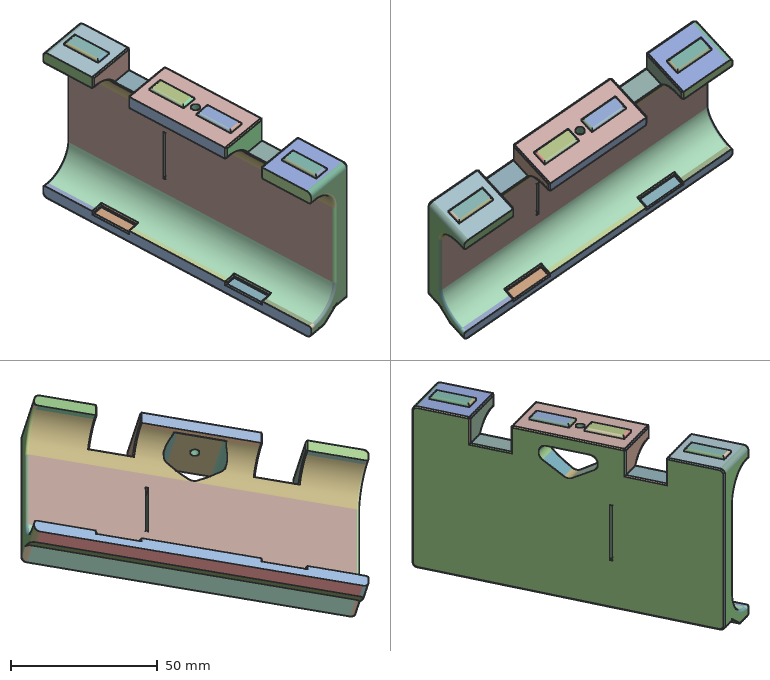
import cadquery as cq
import math

LENGTH = 117.0
DEPTH = 20.0
HEIGHT = 66.0
CORNER_RADIUS = 2.0
EDGE_CHAMFER = 0.5

WALL_THICKNESS = 7.0
LIP_THICKNESS = 5.0
COVE_RADIUS = 11.0
CAVITY_EDGE_RADIUS = 1.0
HEEL_HEIGHT = 4.2
HEEL_DEPTH = 8.8
FOOT_DEPTH = 5.3

NOTCH_SPACING = 58.0
NOTCH_WIDTH = 15.2
NOTCH_DEPTH = 10.0
POCKET_DEPTH = 1.0
POCKET_REACH = 4.5

PAD_LENGTH = 15.0
PAD_WIDTH = 6.0
PAD_HEIGHT = 1.0
PAD_EDGE_RADIUS = 0.8
INNER_PAD_X = 10.3
OUTER_PAD_X = 47.6

PIN_HOLE_DIAMETER = 3.2
WINDOW_WIDTH = 22.1
WINDOW_BOTTOM_Z = 50.5
WINDOW_TOP_Z = 61.2
WINDOW_SLOPE = math.radians(30)
WINDOW_CORNER_DIAMETER = 6.0
SLOT_X = -16.0
SLOT_WIDTH = 1.0
SLOT_LENGTH = 21.1

CLEARANCE = 1.2
TOLERANCE = 0.01

WINDOW_CORNER_RADIUS = WINDOW_CORNER_DIAMETER / 2
WALL_FACE_Y = DEPTH - WALL_THICKNESS
LIP_FLAT = WALL_FACE_Y - COVE_RADIUS
CAVITY_TOP = HEIGHT - LIP_THICKNESS
MID_Y = DEPTH / 2
MID_Z = HEIGHT / 2
NOTCH_CENTRES = (-NOTCH_SPACING / 2, NOTCH_SPACING / 2)
NOTCH_FLOOR_Z = HEIGHT - NOTCH_DEPTH
POCKET_FLOOR_Z = LIP_THICKNESS - POCKET_DEPTH


def box_between(x, y, z):
    """Box spanning the given (low, high) pairs."""
    return cq.Workplane("XY").box(
        x[1] - x[0], y[1] - y[0], z[1] - z[0], centered=False
    ).translate((x[0], y[0], z[0]))


def rounded_slab(bottom):
    """Full-depth slab from `bottom` to the top face, its four corners along Y rounded."""
    slab = box_between((-LENGTH / 2, LENGTH / 2), (0, DEPTH), (bottom, HEIGHT))
    return slab.edges("|Y").fillet(CORNER_RADIUS)


def extrude_along_length(outline):
    """Extrude a closed YZ outline over the whole length, centred on X."""
    return outline.extrude(LENGTH / 2, both=True)


def make_body():
    """Main block; the front foot reaches lower than the heel, joined by a slope."""
    slope_rise = HEEL_HEIGHT / (DEPTH - HEEL_DEPTH - FOOT_DEPTH)
    slope_top = slope_rise * (DEPTH - FOOT_DEPTH)
    foot_region = extrude_along_length(
        cq.Workplane("YZ").polyline(
            [(0, 0), (FOOT_DEPTH, 0), (DEPTH, slope_top), (0, slope_top)]
        ).close()
    )
    foot = rounded_slab(0).intersect(foot_region)
    return rounded_slab(HEEL_HEIGHT).union(foot)


def make_cavity():
    """Trough open to the front, with a round cove along the top and the bottom."""
    return extrude_along_length(
        cq.Workplane("YZ")
        .moveTo(0, LIP_THICKNESS)
        .lineTo(LIP_FLAT, LIP_THICKNESS)
        .radiusArc((WALL_FACE_Y, LIP_THICKNESS + COVE_RADIUS), -COVE_RADIUS)
        .lineTo(WALL_FACE_Y, CAVITY_TOP - COVE_RADIUS)
        .radiusArc((LIP_FLAT, CAVITY_TOP), -COVE_RADIUS)
        .lineTo(0, CAVITY_TOP)
        .close()
    )


def round_cavity_ends(tray):
    """Round the cavity's profile edges on both end faces."""
    for end_x in (-LENGTH / 2, LENGTH / 2):
        end_edges = cq.selectors.BoxSelector(
            (end_x - TOLERANCE, TOLERANCE, LIP_THICKNESS - TOLERANCE),
            (end_x + TOLERANCE, WALL_FACE_Y + TOLERANCE, CAVITY_TOP + TOLERANCE),
        )
        tray = tray.edges(end_edges).fillet(CAVITY_EDGE_RADIUS)
    return tray


def cut_notches(tray):
    """Cut each notch through the top lip and sink a shallow pocket in the lip below it."""
    for centre in NOTCH_CENTRES:
        sides = (centre - NOTCH_WIDTH / 2, centre + NOTCH_WIDTH / 2)
        notch = box_between(sides, (-CLEARANCE, DEPTH + CLEARANCE), (NOTCH_FLOOR_Z, HEIGHT + CLEARANCE))
        pocket = box_between(sides, (-CLEARANCE, POCKET_REACH), (POCKET_FLOOR_Z, MID_Z))
        tray = tray.cut(notch).cut(pocket)
    return tray


def is_notch_rim(edge):
    """True for the outer rim of a notch or pocket, false for its inside corners."""
    box = edge.BoundingBox()
    centre = edge.Center()
    beside = abs(abs(centre.x) - NOTCH_SPACING / 2)
    on_wall = box.xlen < TOLERANCE and abs(beside - NOTCH_WIDTH / 2) < TOLERANCE
    spans_floor = beside < TOLERANCE and abs(box.xlen - NOTCH_WIDTH) < TOLERANCE
    floors = (NOTCH_FLOOR_Z, POCKET_FLOOR_Z)
    flat_on_floor = box.zlen < TOLERANCE and any(abs(centre.z - z) < TOLERANCE for z in floors)
    at_pocket_back = abs(centre.y - POCKET_REACH) < TOLERANCE
    if on_wall:
        return not flat_on_floor and not (at_pocket_back and box.ylen < TOLERANCE)
    return spans_floor and not (flat_on_floor and at_pocket_back)


def chamfer_edges(tray):
    """Chamfer the outline of the back face together with the notch and pocket rims."""
    def is_sharp(edge):
        box = edge.BoundingBox()
        on_back_face = box.ymin > DEPTH - TOLERANCE
        return on_back_face or is_notch_rim(edge)

    return tray.edges().filter(is_sharp).chamfer(EDGE_CHAMFER)


def make_pad(centre_x):
    """Rectangular pad standing on the top face, its upper edges rounded."""
    return (
        cq.Workplane("XY", origin=(centre_x, MID_Y, HEIGHT))
        .rect(PAD_LENGTH, PAD_WIDTH)
        .extrude(PAD_HEIGHT)
        .faces(">Z")
        .edges()
        .fillet(PAD_EDGE_RADIUS)
    )


def make_pin_hole():
    """Vertical hole through the top lip into the cavity."""
    return cq.Workplane("XY", origin=(0, MID_Y, MID_Z)).circle(PIN_HOLE_DIAMETER / 2).extrude(HEIGHT)


def make_window():
    """Rounded pentagonal opening through the wall, pointing down, just under the top lip."""
    half = WINDOW_WIDTH / 2
    corner_gap = WINDOW_CORNER_RADIUS * (1 / math.cos(WINDOW_SLOPE) - 1)
    point_z = WINDOW_BOTTOM_Z - corner_gap
    shoulder_z = point_z + half * math.tan(WINDOW_SLOPE)
    return (
        cq.Workplane("XZ", origin=(0, LIP_FLAT, 0))
        .polyline([
            (0, point_z),
            (half, shoulder_z),
            (half, WINDOW_TOP_Z),
            (-half, WINDOW_TOP_Z),
            (-half, shoulder_z),
        ])
        .close()
        .extrude(-DEPTH - CLEARANCE)
        .edges("|Y")
        .fillet(WINDOW_CORNER_RADIUS)
    )


def make_slot():
    """Narrow upright slot through the wall."""
    return (
        cq.Workplane("XZ", origin=(SLOT_X, 0, MID_Z))
        .rect(SLOT_WIDTH, SLOT_LENGTH)
        .extrude(-DEPTH - CLEARANCE)
    )


tray = make_body().cut(make_cavity())
tray = cut_notches(tray)
tray = chamfer_edges(tray)
tray = round_cavity_ends(tray)
for pad_x in (-OUTER_PAD_X, -INNER_PAD_X, INNER_PAD_X, OUTER_PAD_X):
    tray = tray.union(make_pad(pad_x))
result = tray.cut(make_pin_hole()).cut(make_window()).cut(make_slot())